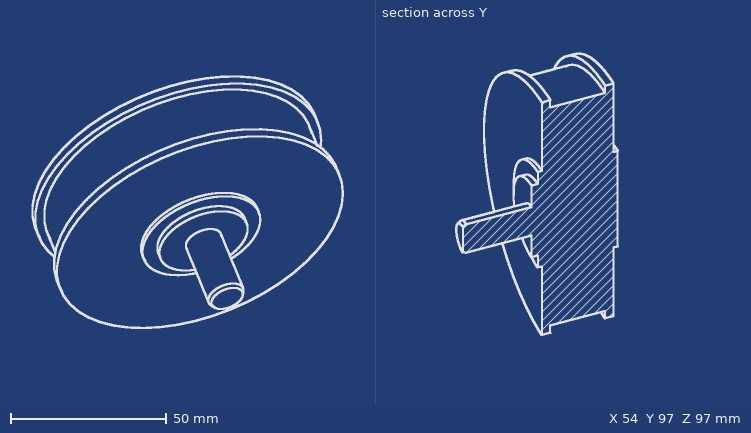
import cadquery as cq

overall_length = 54.0
flange_diameter = 97.0
flange_width = 3.0
tread_diameter = 91.0
tread_width = 19.0
hub_diameter = 40.0
hub_height = 1.5
collar_diameter = 30.0
collar_height = 2.1
shaft_diameter = 12.0
shaft_chamfer_length = 1.3
shaft_chamfer_depth = 0.7

wheel_start = hub_height
wheel_width = tread_width + 2 * flange_width
wheel_end = wheel_start + wheel_width
hub_end = wheel_end + hub_height
collar_end = hub_end + collar_height


def disc(diameter, start, end):
    """Solid cylinder on the X axis between two stations."""
    return cq.Workplane("YZ").workplane(offset=start).circle(diameter / 2).extrude(end - start)


wheel = disc(tread_diameter, wheel_start, wheel_end)
for flange_start in (wheel_start, wheel_end - flange_width):
    wheel = wheel.union(disc(flange_diameter, flange_start, flange_start + flange_width))

hub = disc(hub_diameter, 0, hub_end)
collar = disc(collar_diameter, hub_end, collar_end)

shaft_tip_radius = shaft_diameter / 2 - shaft_chamfer_depth
shaft = (
    cq.Workplane("XY")
    .moveTo(hub_end, 0)
    .lineTo(hub_end, shaft_diameter / 2)
    .lineTo(overall_length - shaft_chamfer_length, shaft_diameter / 2)
    .lineTo(overall_length, shaft_tip_radius)
    .lineTo(overall_length, 0)
    .close()
    .revolve(360, (0, 0, 0), (1, 0, 0))
)

result = wheel.union(hub).union(collar).union(shaft)